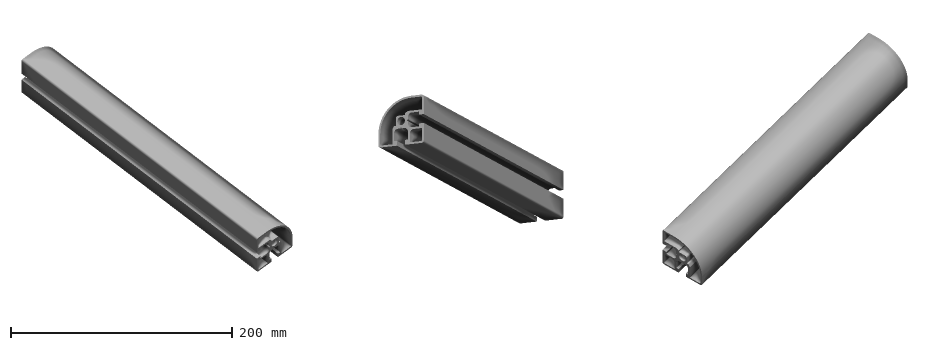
import cadquery as cq

LENGTH = 304.8
SIDE = 45.0
WALL = 1.8
ROUND_RADIUS = 33.0
CORNER_RADIUS = 2.0
INSIDE_RADIUS = 1.2

SLOT_OPENING = 8.2
SLOT_WIDTH = 13.7
LIP_DEPTH = 4.5
SLOT_FLOOR_RADIUS = 3.7
GROOVE_WIDTH = 1.8
GROOVE_DEPTH = 1.2

BORE_DIAMETER = 7.5
BOSS_HALF = 5.2
BOSS_RADIUS = 2.0
SHOULDER_HEIGHT = 4.0
SHOULDER_WIDTH = 7.0
BOX_RADIUS = 4.0

half = SIDE / 2
inner = half - WALL
slot_half = SLOT_WIDTH / 2
slot_floor = -slot_half
web = slot_half + WALL


def extrude_profile(points):
    """Closed (Y, Z) polygon extruded over the full length."""
    return cq.Workplane("YZ").polyline(points).close().extrude(LENGTH)


def round_edges(body, points, radius):
    """Fillet the lengthwise edges that pass through the given (Y, Z) points."""
    for y, z in points:
        edge = cq.selectors.NearestToPointSelector((LENGTH / 2, y, z))
        body = body.edges("|X").edges(edge).fillet(radius)
    return body


def swapped(points):
    """The same points reflected in the plane Y = Z."""
    return [(z, y) for y, z in points]


def outer_body():
    block = cq.Workplane("YZ").rect(SIDE, SIDE).extrude(LENGTH)
    block = round_edges(block, [(half, half)], ROUND_RADIUS)
    return round_edges(block, [(half, -half), (-half, -half), (-half, half)], CORNER_RADIUS)


def curved_chamber():
    """Hollow behind the large round, wrapping the bore boss."""
    outside_corner = (inner, -inner)
    branch = [
        outside_corner,
        (web, -inner),
        (web, slot_floor),
        (SHOULDER_WIDTH, -SHOULDER_HEIGHT),
        (BOSS_HALF, -SHOULDER_HEIGHT),
    ]
    other_branch = list(reversed(swapped(branch)))
    boss_corner = (BOSS_HALF, BOSS_HALF)
    round_corner = (inner, inner)
    chamber = extrude_profile(branch + [boss_corner] + other_branch + [round_corner])
    chamber = round_edges(chamber, [round_corner], ROUND_RADIUS - WALL)
    chamber = round_edges(chamber, [boss_corner], BOSS_RADIUS)
    return round_edges(chamber, [outside_corner] + swapped([outside_corner]), INSIDE_RADIUS)


def box_chamber():
    """Square hollow between the two slots."""
    box = extrude_profile([(-inner, -inner), (-web, -inner), (-web, -web), (-inner, -web)])
    box = round_edges(box, [(-web, -web)], BOX_RADIUS)
    return round_edges(box, [(-inner, -inner)], INSIDE_RADIUS)


def slot(reflect):
    """T-slot opening toward -Z, or toward -Y when reflected, with its centring groove."""
    opening = SLOT_OPENING / 2
    lip = -half + LIP_DEPTH
    right = [
        (opening, -half),
        (opening, lip),
        (slot_half, lip),
        (slot_half, slot_floor),
        (GROOVE_WIDTH / 2, slot_floor),
    ]
    left = [(-y, z) for y, z in reversed(right)]
    points = right + [(0, slot_floor + GROOVE_DEPTH)] + left
    floor_corners = [(slot_half, slot_floor), (-slot_half, slot_floor)]
    if reflect:
        points = swapped(points)
        floor_corners = swapped(floor_corners)
    return round_edges(extrude_profile(points), floor_corners, SLOT_FLOOR_RADIUS)


result = outer_body().cut(curved_chamber()).cut(box_chamber())
for reflect in (False, True):
    result = result.cut(slot(reflect))
bore = cq.Workplane("YZ").circle(BORE_DIAMETER / 2).extrude(LENGTH)
result = result.cut(bore)